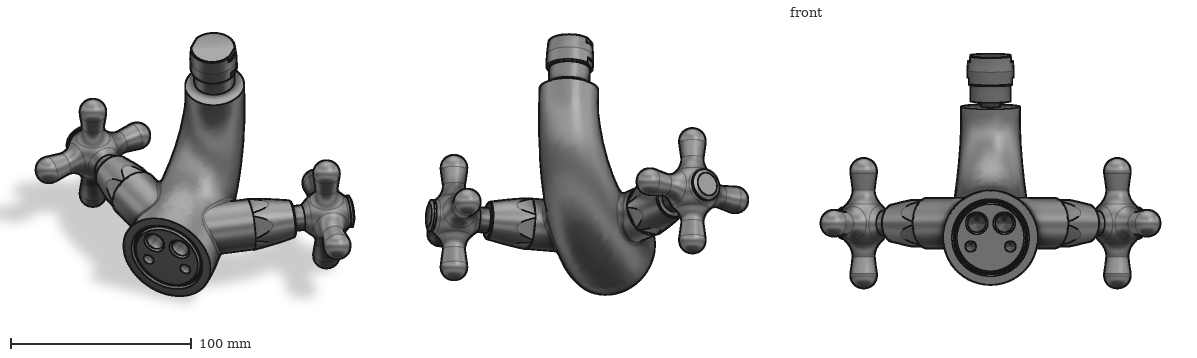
import cadquery as cq
import math

BASE_RADIUS = 26.25
INNER_BEND_RADIUS = 40.5
INNER_BEND_Y = 11.0
INNER_BEND_Z = 25.5
OUTER_BEND_RADIUS = 84.4
OUTLET_TILT = 5.0
OUTLET_CENTRE = (0, 67.5, 72.5)
OUTLET_RADIUS = 16.4
INNER_BEND_SWEEP = 90 + OUTLET_TILT
OUTER_BEND_SWEEP = 100.5
SPOUT_SECTIONS = 5
WAIST_NARROWING = 0.055

STEM_RADIUS = 5.3
STEM_HEIGHT = 3.1
SLEEVE_RADIUS = 11.3
SLEEVE_TOP = 12.3
COLLAR_RADIUS = 12.95
COLLAR_CHAMFER = 0.8
COLLAR_SEAM = 20.4
COLLAR_TOP_RADIUS = 12.3
TOP_CHAMFER = 0.5
NOZZLE_HEIGHT = 28.5
FLAT_WIDTH = 9.9
UPPER_FLAT_OFFSET = SLEEVE_RADIUS
UPPER_FLAT_HEIGHT = 3.3
LOWER_FLAT_OFFSET = 12.15
LOWER_FLAT_HEIGHT = 4.0

GROOVE_OUTER_RADIUS = 21.4
GROOVE_INNER_RADIUS = 18.6
GROOVE_DEPTH = 1.5
GROOVE_WALL_RUN = 1.0
INLET_X = 7.6
INLET_RADIUS = 5.0
INLET_MOUTH_RADIUS = 6.1
INLET_DEPTH = 15.0
FIXING_X = 11.0
FIXING_Z = -4.9
FIXING_RADIUS = 3.0
FIXING_DEPTH = 10.0
DRILL_HALF_ANGLE = 59.0

VALVE_Z = 8.0
VALVE_ANGLE = 35.0
HUB_X = 70.25
HUB_Y = 60.57
BRANCH_START = -79.0
BRANCH_END = -43.0
BRANCH_RADIUS = 14.1
BRANCH_BLEND = 2.0
BONNET_BASE_RADIUS = 14.4
BONNET_MID = -32.0
BONNET_MID_RADIUS = 12.8
BONNET_END = -19.2
BONNET_END_RADIUS = 10.5
BONNET_CHAMFER = 0.7
HEX_FLAT_OFFSET = 12.95
HEX_SIDES = 6
NECK_RADIUS = 7.0

ARM_COUNT = 4
ARM_WAIST_RADIUS = 6.2
ARM_WAIST_HEIGHT = 18.6
FLARE_RADIUS = 11.5
BALL_RADIUS = 7.5
ARM_LENGTH = 36.2
BALL_CENTRE = ARM_LENGTH - BALL_RADIUS
BALL_SEAM_HEIGHT = 27.6
NECK_FLARE_START = -13.4
HUB_OVERLAP = 0.02
CAP_UNDERSIDE = 12.2
CAP_SEAT_RADIUS = 8.0
CAP_RADIUS = 8.9
CAP_RIM = 13.5
CAP_TOP = 14.5
CAP_TOP_RADIUS = 6.5


def bend_point(start_y, start_z, radius, angle):
    """Point on a bend that leaves (start_y, start_z) along +Y and turns towards +Z."""
    turn = math.radians(angle)
    return cq.Vector(0, start_y + radius * math.sin(turn), start_z + radius * (1 - math.cos(turn)))


def section_wire(centre, across, radius, half_width):
    """Elliptical section: radius along `across` in the YZ plane, half_width along X."""
    normal = cq.Vector(0, across.z, -across.y)
    return cq.Wire.makeEllipse(radius, half_width, centre, normal, across)


def bend_section(fraction):
    """Section that touches both bends at the same fraction of their sweeps."""
    inner = bend_point(INNER_BEND_Y, INNER_BEND_Z, INNER_BEND_RADIUS, INNER_BEND_SWEEP * fraction)
    outer = bend_point(0, -BASE_RADIUS, OUTER_BEND_RADIUS, OUTER_BEND_SWEEP * fraction)
    across = inner - outer
    radius = across.Length / 2
    half_width = radius * (1 - WAIST_NARROWING * math.sin(math.pi * fraction))
    return section_wire((inner + outer) / 2, across, radius, half_width)


def make_spout():
    tilt = math.radians(OUTLET_TILT)
    outlet_across = cq.Vector(0, -math.cos(tilt), -math.sin(tilt))
    sections = [section_wire(cq.Vector(), cq.Vector(0, 0, 1), BASE_RADIUS, BASE_RADIUS)]
    for index in range(1, SPOUT_SECTIONS):
        sections.append(bend_section(index / SPOUT_SECTIONS))
    sections.append(section_wire(cq.Vector(*OUTLET_CENTRE), outlet_across, OUTLET_RADIUS, OUTLET_RADIUS))
    return cq.Workplane(cq.Solid.makeLoft(sections))


def make_nozzle():
    profile = [
        (0, -STEM_HEIGHT),
        (STEM_RADIUS, -STEM_HEIGHT),
        (STEM_RADIUS, STEM_HEIGHT),
        (SLEEVE_RADIUS, STEM_HEIGHT),
        (SLEEVE_RADIUS, SLEEVE_TOP),
        (COLLAR_RADIUS - COLLAR_CHAMFER, SLEEVE_TOP),
        (COLLAR_RADIUS, SLEEVE_TOP + COLLAR_CHAMFER),
        (COLLAR_RADIUS, COLLAR_SEAM),
        (COLLAR_TOP_RADIUS, NOZZLE_HEIGHT - TOP_CHAMFER),
        (COLLAR_TOP_RADIUS - TOP_CHAMFER, NOZZLE_HEIGHT),
        (0, NOZZLE_HEIGHT),
    ]
    nozzle = cq.Workplane("XZ").polyline(profile).close().revolve(360, (0, 0), (0, 1))
    upper_flat = (UPPER_FLAT_OFFSET, NOZZLE_HEIGHT - UPPER_FLAT_HEIGHT, UPPER_FLAT_HEIGHT)
    lower_flat = (LOWER_FLAT_OFFSET, SLEEVE_TOP, LOWER_FLAT_HEIGHT)
    cutter_depth = COLLAR_RADIUS
    for offset, bottom, height in (upper_flat, lower_flat):
        cutter = cq.Workplane("XY").box(cutter_depth, FLAT_WIDTH, height, centered=(True, True, False))
        for side in (-1, 1):
            nozzle = nozzle.cut(cutter.translate((side * (offset + cutter_depth / 2), 0, bottom)))
    return nozzle.rotate((0, 0, 0), (1, 0, 0), OUTLET_TILT).translate(OUTLET_CENTRE)


def make_branch():
    """Plain tube on the Z axis."""
    start = cq.Workplane("XY").workplane(offset=BRANCH_START)
    return start.circle(BRANCH_RADIUS).extrude(BRANCH_END - BRANCH_START)


def blend_branches(body):
    """Fillet the two closed edges where the branches leave the spout."""
    def is_junction(edge):
        centre = edge.Center()
        off_middle = abs(centre.x) > BRANCH_RADIUS
        off_base_face = centre.y > INNER_BEND_Y
        return edge.geomType() == "BSPLINE" and off_middle and off_base_face

    junctions = [edge for edge in body.edges().vals() if is_junction(edge)]
    return body.newObject(junctions).fillet(BRANCH_BLEND)


def make_bonnet():
    bonnet = (
        cq.Workplane("XZ").moveTo(0, BRANCH_END)
        .lineTo(BONNET_BASE_RADIUS, BRANCH_END)
        .threePointArc((BONNET_MID_RADIUS, BONNET_MID), (BONNET_END_RADIUS, BONNET_END - BONNET_CHAMFER))
        .lineTo(BONNET_END_RADIUS - BONNET_CHAMFER, BONNET_END)
        .lineTo(0, BONNET_END)
        .close().revolve(360, (0, 0), (0, 1))
    )
    hexagon = (
        cq.Workplane("XY").workplane(offset=BRANCH_END)
        .polygon(HEX_SIDES, 2 * HEX_FLAT_OFFSET, circumscribed=True)
        .extrude(BONNET_END - BRANCH_END)
    )
    return bonnet.intersect(hexagon)


def flare_meeting():
    """Radius, equal to height, at which an arm flare meets the flares of its neighbours."""
    centre_radius = ARM_WAIST_RADIUS + FLARE_RADIUS
    offset = centre_radius - ARM_WAIST_HEIGHT
    chord = math.sqrt(2 * FLARE_RADIUS ** 2 - offset ** 2)
    return (centre_radius + ARM_WAIST_HEIGHT - chord) / 2


def make_arm():
    """Arm on the Z axis: flared foot, tapered shank and ball end."""
    meeting = flare_meeting()
    foot_turn = math.asin((ARM_WAIST_HEIGHT - meeting) / FLARE_RADIUS)
    flare_middle = (
        ARM_WAIST_RADIUS + FLARE_RADIUS * (1 - math.cos(foot_turn / 2)),
        ARM_WAIST_HEIGHT - FLARE_RADIUS * math.sin(foot_turn / 2),
    )
    ball_seam_radius = math.sqrt(BALL_RADIUS ** 2 - (BALL_CENTRE - BALL_SEAM_HEIGHT) ** 2)
    diagonal = BALL_RADIUS / math.sqrt(2)
    return (
        cq.Workplane("XZ").moveTo(0, meeting)
        .lineTo(meeting, meeting)
        .threePointArc(flare_middle, (ARM_WAIST_RADIUS, ARM_WAIST_HEIGHT))
        .lineTo(ball_seam_radius, BALL_SEAM_HEIGHT)
        .threePointArc((diagonal, BALL_CENTRE + diagonal), (0, ARM_LENGTH))
        .close().revolve(360, (0, 0), (0, 1))
    )


def make_hub():
    """Neck, shoulders and end cap on the Z axis, around a ball that fills in between the arms."""
    shoulder = flare_meeting()
    neck_profile = [
        (0, BONNET_END),
        (NECK_RADIUS, BONNET_END),
        (NECK_RADIUS, NECK_FLARE_START),
        (shoulder, -shoulder),
        (0, -shoulder),
    ]
    cap_profile = [
        (0, shoulder),
        (shoulder, shoulder),
        (CAP_SEAT_RADIUS, CAP_UNDERSIDE),
        (CAP_RADIUS, CAP_UNDERSIDE),
        (CAP_RADIUS, CAP_RIM),
        (CAP_TOP_RADIUS, CAP_TOP),
        (0, CAP_TOP),
    ]
    hub = cq.Workplane("XY").sphere(math.sqrt(2) * shoulder + HUB_OVERLAP)
    for outline in (neck_profile, cap_profile):
        hub = hub.union(cq.Workplane("XZ").polyline(outline).close().revolve(360, (0, 0), (0, 1)))
    return hub


def make_handle():
    handle = make_hub()
    arm = make_arm().rotate((0, 0, 0), (0, 1, 0), 90)
    for index in range(ARM_COUNT):
        handle = handle.union(arm.rotate((0, 0, 0), (0, 0, 1), 360 / ARM_COUNT * index))
    return handle


def place_valve(shape):
    """Move a shape built about the Z axis onto the +X valve axis."""
    lying = shape.rotate((0, 0, 0), (0, 1, 0), 90)
    return lying.rotate((0, 0, 0), (0, 0, 1), VALVE_ANGLE).translate((HUB_X, HUB_Y, VALVE_Z))


def drill(x, z, radius, depth, mouth_radius):
    """Blind hole in the base face with a countersunk mouth and a drill-point bottom."""
    mouth_depth = mouth_radius - radius
    tip = radius / math.tan(math.radians(DRILL_HALF_ANGLE))
    profile = [(0, 0), (mouth_radius, 0)]
    if mouth_depth > 0:
        profile.append((radius, mouth_depth))
    profile += [(radius, depth), (0, depth + tip)]
    hole = cq.Workplane("XY").polyline(profile).close().revolve(360, (0, 0), (0, 1))
    return hole.translate((x, 0, z))


def make_groove():
    profile = [
        (GROOVE_INNER_RADIUS, 0),
        (GROOVE_OUTER_RADIUS, 0),
        (GROOVE_OUTER_RADIUS - GROOVE_WALL_RUN, GROOVE_DEPTH),
        (GROOVE_INNER_RADIUS + GROOVE_WALL_RUN, GROOVE_DEPTH),
    ]
    return cq.Workplane("XY").polyline(profile).close().revolve(360, (0, 0), (0, 1))


spout = make_spout()
branch = place_valve(make_branch())
body = blend_branches(spout.union(branch).union(branch.mirror("YZ")))
valve = place_valve(make_bonnet().union(make_handle()))
result = body.union(valve).union(valve.mirror("YZ")).union(make_nozzle())
result = result.cut(make_groove())
for side in (-1, 1):
    result = result.cut(drill(side * INLET_X, VALVE_Z, INLET_RADIUS, INLET_DEPTH, INLET_MOUTH_RADIUS))
    result = result.cut(drill(side * FIXING_X, FIXING_Z, FIXING_RADIUS, FIXING_DEPTH, FIXING_RADIUS))